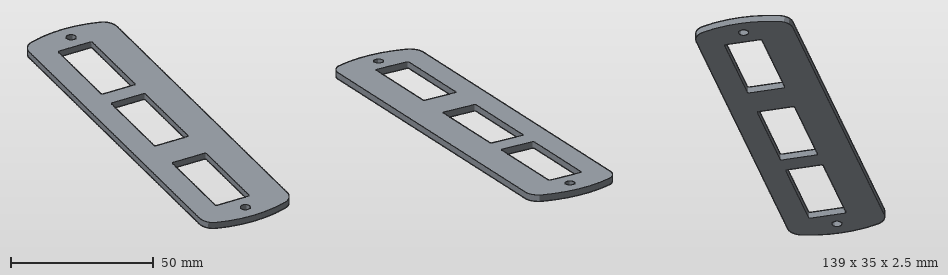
import cadquery as cq
import math

length = 139.0
width = 35.0
thickness = 2.5
end_radius = 43.8
corner_radius = 5.5

window_length = 32.0
window_width = 13.5
window_y = -1.8
window_centers_x = (-41.5, -2.9, 41.5)
window_corner_radius = 0.5

hole_diameter = 3.5
hole_spacing = 126.9


def make_plate():
    """Long plate with straight sides, bowed ends and rounded corners."""
    half_length = length / 2
    half_width = width / 2
    end_bow = end_radius - math.sqrt(end_radius**2 - half_width**2)
    corner_x = half_length - end_bow
    return (
        cq.Workplane("XY")
        .moveTo(-corner_x, half_width)
        .lineTo(corner_x, half_width)
        .threePointArc((half_length, 0), (corner_x, -half_width))
        .lineTo(-corner_x, -half_width)
        .threePointArc((-half_length, 0), (-corner_x, half_width))
        .close()
        .extrude(thickness)
        .edges("|Z")
        .fillet(corner_radius)
    )


def make_windows():
    """Equal rectangular windows with slightly rounded corners."""
    return (
        cq.Workplane("XY")
        .pushPoints([(x, window_y) for x in window_centers_x])
        .rect(window_length, window_width)
        .extrude(thickness)
        .edges("|Z")
        .fillet(window_corner_radius)
    )


def make_holes():
    """One round mounting hole near each end."""
    return (
        cq.Workplane("XY")
        .pushPoints([(-hole_spacing / 2, 0), (hole_spacing / 2, 0)])
        .circle(hole_diameter / 2)
        .extrude(thickness)
    )


result = make_plate().cut(make_windows()).cut(make_holes())